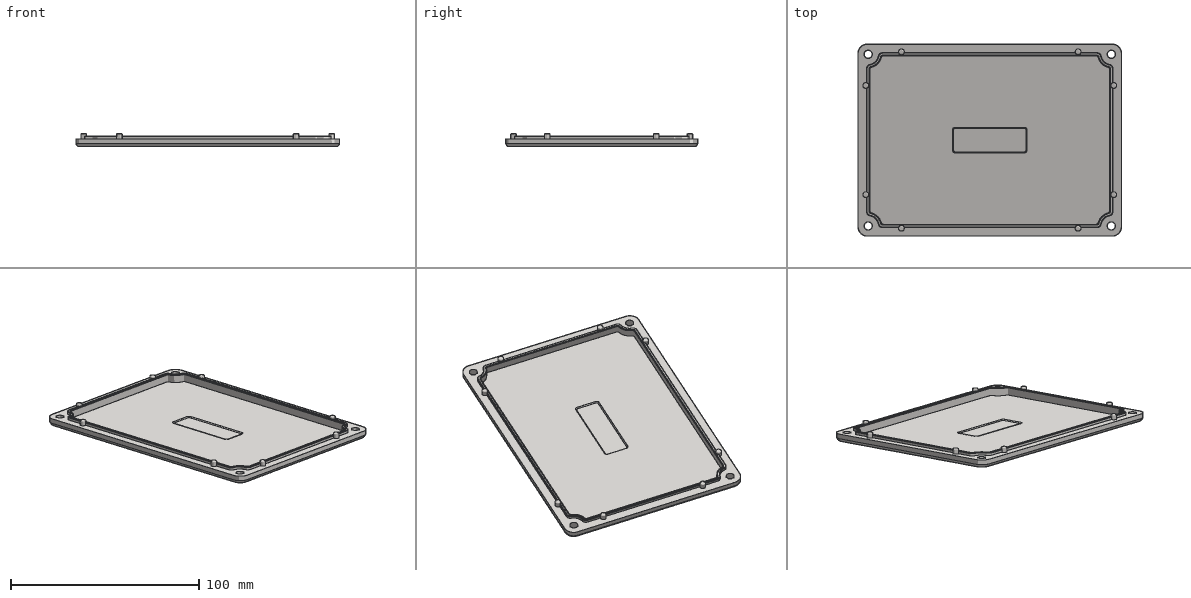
import cadquery as cq
import math

length = 140.0
width = 102.0
plate_height = 4.2
corner_radius = 5.2

bottom_curve_radius = 3.9
bottom_curve_start = 20
bottom_curve_end = 50

lip_top = 5.7
lip_inset = 4.6
lip_thickness = 1.7
lip_outer_chamfer = 0.3
lip_inner_chamfer = 0.4
lip_corner_round = 2.2
recess_corner_round = 1.4
floor_thickness = 1.4

screw_inset = 5.5
screw_diameter = 4.2
lip_screw_radius = 5.5

post_top = 7.0
post_diameter = 3.1
post_edge_round = 0.7
post_inset = 4.2
long_side_post_x = 46.9
short_side_post_y = 29.0

label_length = 39.5
label_width = 13.6
label_corner = 1.4
label_depth = 0.5
label_side_angle = 45

screw_points = [
    (side_x * (length / 2 - screw_inset), side_y * (width / 2 - screw_inset))
    for side_x in (-1, 1)
    for side_y in (-1, 1)
]


def scalloped_block(inset, scallop_radius, corner_round, bottom, top):
    """Rectangular block whose corners are cut away around the screw holes."""
    height = top - bottom
    block = (
        cq.Workplane("XY").workplane(offset=bottom)
        .rect(length - 2 * inset, width - 2 * inset).extrude(height)
    )
    scallops = (
        cq.Workplane("XY").workplane(offset=bottom)
        .pushPoints(screw_points).circle(scallop_radius).extrude(height)
    )
    return block.cut(scallops).edges("|Z").fillet(corner_round)


def make_plate():
    """Flat plate whose lower rim curves inward from a crease down to the underside."""
    crown_bottom = bottom_curve_radius * (math.sin(math.radians(bottom_curve_end)) - 1)
    crown_overhang = bottom_curve_radius * (1 - math.cos(math.radians(bottom_curve_start)))
    crown = (
        cq.Workplane("XY").workplane(offset=crown_bottom)
        .rect(length + 2 * crown_overhang, width + 2 * crown_overhang)
        .extrude(plate_height - crown_bottom)
        .edges("|Z").fillet(corner_radius + crown_overhang)
        .faces("<Z").edges().fillet(bottom_curve_radius)
    )
    plate = cq.Workplane("XY").rect(length, width).extrude(plate_height)
    return plate.edges("|Z").fillet(corner_radius).intersect(crown)


def make_lip_block():
    """Solid block with the lip's outer shape, before the recess hollows it."""
    block = scalloped_block(lip_inset, lip_screw_radius, lip_corner_round, floor_thickness, lip_top)
    return block.faces(">Z").edges().chamfer(lip_outer_chamfer)


def make_posts():
    """Two round-topped posts near each corner, one on each adjoining side."""
    end_x = length / 2 - post_inset
    end_y = width / 2 - post_inset
    points = []
    for side_x in (-1, 1):
        for side_y in (-1, 1):
            points.append((side_x * long_side_post_x, side_y * end_y))
            points.append((side_x * end_x, side_y * short_side_post_y))
    posts = (
        cq.Workplane("XY").workplane(offset=floor_thickness)
        .pushPoints(points).circle(post_diameter / 2).extrude(post_top - floor_thickness)
    )
    return posts.faces(">Z").edges().fillet(post_edge_round)


def make_label_recess():
    """Shallow rounded panel with sloping sides, sunk into the floor."""
    outline = cq.Sketch().rect(label_length, label_width).vertices().fillet(label_corner)
    return (
        cq.Workplane("XY").workplane(offset=floor_thickness)
        .placeSketch(outline).extrude(-label_depth, taper=label_side_angle)
    )


def make_recess():
    """Open space inside the lip, widened at the top by the lip's inner chamfer."""
    inset = lip_inset + lip_thickness
    scallop_radius = lip_screw_radius + lip_thickness
    recess = scalloped_block(inset, scallop_radius, recess_corner_round, floor_thickness, lip_top)
    mouth = scalloped_block(
        inset - lip_inner_chamfer, scallop_radius - lip_inner_chamfer, recess_corner_round,
        lip_top - lip_inner_chamfer, lip_top + lip_inner_chamfer,
    )
    return recess.union(mouth)


def make_screw_holes():
    return cq.Workplane("XY").pushPoints(screw_points).circle(screw_diameter / 2).extrude(plate_height)


result = (
    make_plate()
    .union(make_lip_block())
    .union(make_posts())
    .cut(make_recess())
    .cut(make_label_recess())
    .cut(make_screw_holes())
)